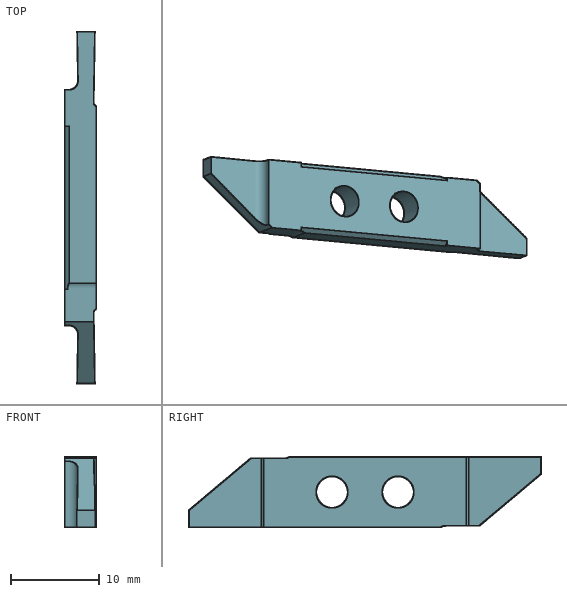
import cadquery as cq
import math

thickness = 3.6
length = 40.0
height = 8.0

half_thickness = thickness / 2
half_length = length / 2
half_height = height / 2

tip_height = 1.95
slant_angle = 40.0
edge_relief = 0.15
relief_start_y = 8.6
relief_radius = 1.0

body_half_length = 13.4
tab_face_depth = 1.4
tab_back_depth = 0.15
taper_angle = 1.0
shoulder_radius = 1.0
back_relief_end_y = 11.5

chamfer_size = 0.5
chamfer_half_length = 9.25

hole_diameter = 3.55
hole_spacing = 7.5

cutter_margin = 1.0


def turned(shape):
    """Return the shape turned half a turn about the X axis."""
    return shape.rotate((0, 0, 0), (1, 0, 0), 180)


def blank():
    """Plate with slanted ends and relieved edges, extruded through the thickness."""
    slant_top_z = half_height - edge_relief
    tip_z = tip_height - half_height
    slant_run = (slant_top_z - tip_z) / math.tan(math.radians(slant_angle))
    step_angle = math.acos(1 - edge_relief / relief_radius)
    step_end_y = relief_start_y + relief_radius * math.sin(step_angle)
    arc_middle_y = step_end_y - relief_radius * math.sin(step_angle / 2)
    arc_middle_z = slant_top_z + relief_radius * (1 - math.cos(step_angle / 2))
    slant_top_y = half_length - slant_run
    return (
        cq.Workplane("YZ", origin=(-half_thickness, 0, 0))
        .moveTo(half_length, half_height)
        .lineTo(-relief_start_y, half_height)
        .threePointArc((-arc_middle_y, arc_middle_z), (-step_end_y, slant_top_z))
        .lineTo(-slant_top_y, slant_top_z)
        .lineTo(-half_length, tip_z)
        .lineTo(-half_length, -half_height)
        .lineTo(relief_start_y, -half_height)
        .threePointArc((arc_middle_y, -arc_middle_z), (step_end_y, -slant_top_z))
        .lineTo(slant_top_y, -slant_top_z)
        .lineTo(half_length, -tip_z)
        .close()
        .extrude(thickness)
    )


def tab_cutter():
    """Material beside the -X face of the +Y tab, with a rounded inner corner at the shoulder."""
    taper = math.radians(taper_angle)
    outer_y = half_length + cutter_margin
    outer_x = -half_thickness - cutter_margin
    tip_x = tab_face_depth - half_thickness

    def face_x(y):
        return tip_x + (half_length - y) * math.tan(taper)

    centre_y = body_half_length + shoulder_radius
    centre_x = face_x(centre_y) - shoulder_radius / math.cos(taper)
    face_tangent = (
        centre_x + shoulder_radius * math.cos(taper),
        centre_y + shoulder_radius * math.sin(taper),
    )
    middle_angle = (taper - math.pi / 2) / 2
    arc_middle = (
        centre_x + shoulder_radius * math.cos(middle_angle),
        centre_y + shoulder_radius * math.sin(middle_angle),
    )
    return (
        cq.Workplane("XY")
        .moveTo(outer_x, body_half_length)
        .lineTo(centre_x, body_half_length)
        .threePointArc(arc_middle, face_tangent)
        .lineTo(face_x(outer_y), outer_y)
        .lineTo(outer_x, outer_y)
        .close()
        .extrude(half_height + cutter_margin, both=True)
    )


def back_cutter():
    """Tapered relief on the +X face of the +Y end, finished by a 45 degree step."""
    slope = math.tan(math.radians(taper_angle))
    outer_y = half_length + cutter_margin
    outer_x = half_thickness + cutter_margin
    tip_x = half_thickness - tab_back_depth
    step_depth = (tab_back_depth + (half_length - back_relief_end_y) * slope) / (1 + slope)
    outline = [
        (outer_x, outer_y),
        (tip_x + cutter_margin * slope, outer_y),
        (half_thickness - step_depth, back_relief_end_y + step_depth),
        (outer_x, back_relief_end_y - cutter_margin),
    ]
    return (
        cq.Workplane("XY")
        .polyline(outline)
        .close()
        .extrude(half_height + cutter_margin, both=True)
    )


def chamfer_cutter():
    """45 degree chamfer along the middle of the upper -X edge."""
    leg = chamfer_size + 2 * cutter_margin
    corner_x = -half_thickness - cutter_margin
    corner_z = half_height + cutter_margin
    outline = [
        (corner_x, corner_z),
        (corner_x + leg, corner_z),
        (corner_x, corner_z - leg),
    ]
    return cq.Workplane("XZ").polyline(outline).close().extrude(chamfer_half_length, both=True)


def hole_cutter():
    """Two round holes through the thickness."""
    return (
        cq.Workplane("YZ")
        .pushPoints([(-hole_spacing / 2, 0), (hole_spacing / 2, 0)])
        .circle(hole_diameter / 2)
        .extrude(half_thickness + cutter_margin, both=True)
    )


result = blank()
for cutter in (tab_cutter(), back_cutter(), chamfer_cutter()):
    result = result.cut(cutter).cut(turned(cutter))
result = result.cut(hole_cutter())